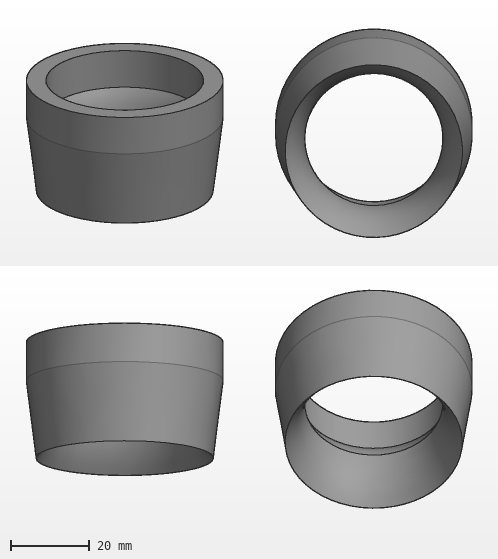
import cadquery as cq
import math

height = 30.0
rim_radius = 25.0
foot_radius = 22.5
collar_height = 10.0
collar_bottom = height - collar_height

wall = 5.0
socket_radius = rim_radius - wall
throat_radius = 17.5
throat_height = 14.65
funnel_curve_radius = 15.0


def arc_midpoint(start, end, curve_radius):
    """Middle point of an arc going down from start to end and bulging towards the axis."""
    chord = math.dist(start, end)
    bulge = curve_radius - math.sqrt(curve_radius**2 - (chord / 2) ** 2)
    middle_r = (start[0] + end[0]) / 2 + bulge * (end[1] - start[1]) / chord
    middle_z = (start[1] + end[1]) / 2 + bulge * (start[0] - end[0]) / chord
    return middle_r, middle_z


flare_width = foot_radius - throat_radius
flare_curve_radius = (flare_width**2 + throat_height**2) / (2 * flare_width)

socket_floor = (socket_radius, collar_bottom)
throat = (throat_radius, throat_height)
foot_edge = (foot_radius, 0)

wall_section = (
    cq.Workplane("XZ")
    .moveTo(*foot_edge)
    .lineTo(rim_radius, collar_bottom)
    .lineTo(rim_radius, height)
    .lineTo(socket_radius, height)
    .lineTo(*socket_floor)
    .threePointArc(arc_midpoint(socket_floor, throat, funnel_curve_radius), throat)
    .threePointArc(arc_midpoint(throat, foot_edge, flare_curve_radius), foot_edge)
    .close()
)
result = wall_section.revolve(360, (0, 0, 0), (0, 1, 0))